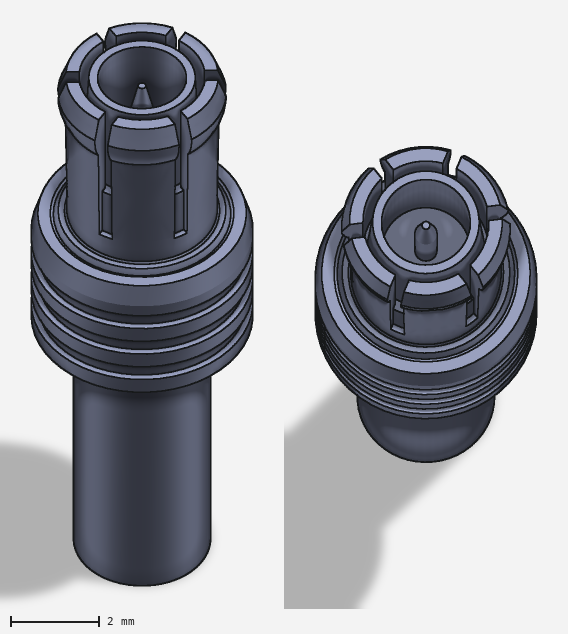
import cadquery as cq


total_height = 14.5
stem_length = 7.0
rib_pitch = 0.8
rib_height = 0.4
rib_count = 4
shoulder_chamfer_height = 0.5
top_rib_land = 0.3
collar_rise = 0.09
collar_groove_depth = 0.03
tube_foot_height = 0.04
slot_depth = 3.6
taper_depth = 3.55
sleeve_step_depth = 2.38
sleeve_recess = 0.05
bulge_peak_depth = 0.5
bulge_land = 0.06
bulge_end_depth = 1.1
pin_tip_depth = 0.3
pin_taper_length = 0.7

stem_radius = 1.55
rib_radius = 2.5
rib_root_radius = 2.35
shoulder_top_radius = 2.35
collar_groove_outer_radius = 2.07
collar_groove_inner_radius = 2.0
collar_top_radius = 1.89
tube_foot_radius = 1.75
tube_base_radius = 1.7
tube_radius = 1.74
bulge_radius = 1.9
finger_tip_radius = 1.72
finger_inner_radius = 1.42
slot_floor_radius = 1.56
sleeve_base_radius = 1.33
sleeve_tip_radius = 1.2
bore_radius = 1.0
pin_radius = 0.25
pin_tip_radius = 0.09

slot_count = 6
slot_width = 0.33

top_rib_base = stem_length + (rib_count - 1) * rib_pitch
shoulder_top = top_rib_base + top_rib_land + shoulder_chamfer_height
collar_top = shoulder_top + collar_rise
sleeve_top = total_height - sleeve_recess
sleeve_step = total_height - sleeve_step_depth
bore_floor = sleeve_step
slot_floor = total_height - slot_depth


def cylinder(radius, bottom, top):
    return cq.Workplane("XY").workplane(offset=bottom).circle(radius).extrude(top - bottom)


def revolve_profile(profile):
    """Turn a closed (radius, Z) profile about the Z axis."""
    return profile.close().revolve(360, (0, 0, 0), (0, 1, 0))


def make_ribbed_body():
    """Stem and grip body with square ribs, a chamfered shoulder and a shallow V groove on top."""
    body = cylinder(stem_radius, 0, stem_length)
    shoulder = revolve_profile(
        cq.Workplane("XZ")
        .moveTo(0, stem_length)
        .lineTo(rib_root_radius, stem_length)
        .lineTo(rib_root_radius, top_rib_base)
        .lineTo(rib_radius, top_rib_base)
        .lineTo(rib_radius, top_rib_base + top_rib_land)
        .lineTo(shoulder_top_radius, shoulder_top)
        .lineTo(collar_groove_outer_radius, shoulder_top)
        .lineTo(collar_groove_inner_radius, shoulder_top - collar_groove_depth)
        .lineTo(collar_top_radius, collar_top)
        .lineTo(0, collar_top)
    )
    body = body.union(shoulder)
    for index in range(rib_count - 1):
        rib_base = stem_length + index * rib_pitch
        body = body.union(cylinder(rib_radius, rib_base, rib_base + rib_height))
    return body


def make_finger_tube():
    """Solid nose whose outside carries the slight taper and the snap bulge of the fingers."""
    bulge_land_bottom = total_height - bulge_peak_depth - bulge_land
    bulge_bottom = total_height - bulge_end_depth
    bulge_step = bulge_radius - tube_radius
    bulge_arc_radius = (bulge_step**2 + (bulge_land_bottom - bulge_bottom) ** 2) / (2 * bulge_step)
    return revolve_profile(
        cq.Workplane("XZ")
        .moveTo(0, shoulder_top)
        .lineTo(tube_foot_radius, shoulder_top)
        .lineTo(tube_foot_radius, collar_top)
        .lineTo(tube_base_radius, collar_top + tube_foot_height)
        .lineTo(tube_base_radius, total_height - taper_depth)
        .lineTo(tube_radius, bulge_bottom)
        .radiusArc((bulge_radius, bulge_land_bottom), -bulge_arc_radius)
        .lineTo(bulge_radius, total_height - bulge_peak_depth)
        .lineTo(finger_tip_radius, total_height)
        .lineTo(0, total_height)
    )


def make_finger_gap():
    """Space between the fingers and the tapered inner sleeve, open at the top."""
    return revolve_profile(
        cq.Workplane("XZ")
        .moveTo(0, total_height)
        .lineTo(0, sleeve_top)
        .lineTo(sleeve_tip_radius, sleeve_top)
        .lineTo(sleeve_base_radius, sleeve_step)
        .lineTo(finger_inner_radius, sleeve_step)
        .lineTo(finger_inner_radius, total_height)
    )


def make_slots():
    """Radial slots: through the fingers down to the sleeve step, then shallow grooves below it."""
    slots = cq.Workplane("XY")
    for index in range(slot_count):
        slot = (
            cq.Workplane("XY")
            .box(rib_radius, slot_width, slot_depth, centered=(False, True, False))
            .translate((0, 0, slot_floor))
            .rotate((0, 0, 0), (0, 0, 1), index * 360 / slot_count)
        )
        slots = slots.union(slot)
    core = cylinder(slot_floor_radius, slot_floor, sleeve_step)
    upper_core = cylinder(sleeve_base_radius, sleeve_step, total_height)
    return slots.cut(core).cut(upper_core)


def make_pin():
    """Centre contact with a tapered tip."""
    pin_tip = total_height - pin_tip_depth
    return revolve_profile(
        cq.Workplane("XZ")
        .moveTo(0, bore_floor)
        .lineTo(pin_radius, bore_floor)
        .lineTo(pin_radius, pin_tip - pin_taper_length)
        .lineTo(pin_tip_radius, pin_tip)
        .lineTo(0, pin_tip)
    )


result = (
    make_ribbed_body()
    .union(make_finger_tube())
    .cut(make_finger_gap())
    .cut(cylinder(bore_radius, bore_floor, total_height))
    .cut(make_slots())
    .union(make_pin())
)